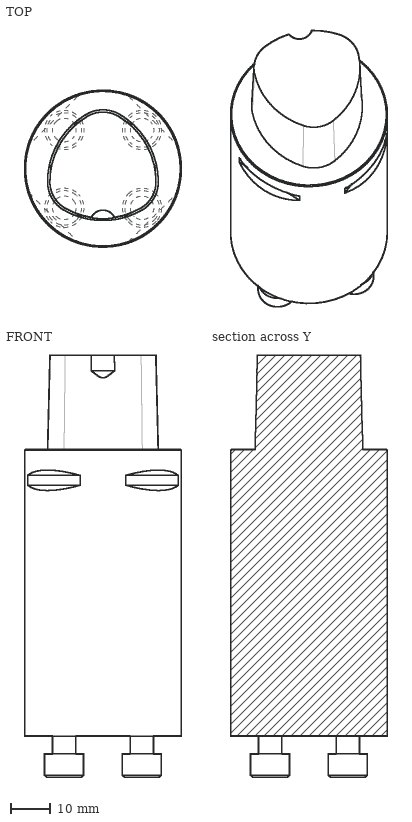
import cadquery as cq
import math

total_height = 107.53
shank_length = 24.0
body_length = 73.0
screw_head_height = 6.0
screw_neck_length = total_height - shank_length - body_length - screw_head_height

body_diameter = 40.0
body_edge_chamfer = 0.3

shank_width = 28.22
lobe_height = 0.9
shank_taper = 1 / 20
lobe_angles = (90, 210, 330)

notch_diameter = 6.5
notch_depth = 4.0
notch_tip_angle = 100.0
notch_axis_y = -13.8

groove_floor_radius = 17.65
groove_floor_height = 2.5
groove_center_z = -7.9
groove_flank_angle = 30.0

diagonal_angles = (45, 135, 225, 315)
screw_circle_radius = 14.0
screw_neck_diameter = 6.0
screw_head_diameter = 10.0
screw_head_chamfer = 0.6


def polar(radius, angle):
    """Point at a radius and an angle in degrees."""
    return cq.Vector(radius * math.cos(math.radians(angle)), radius * math.sin(math.radians(angle)))


def lobed_outline(z, inset):
    """Six tangent arcs: small ones round the lobes, wide ones span the flanks between them.

    The wide arc opposite a lobe shares that lobe's centre, which keeps the width constant.
    """
    lobe_center_radius = 2 * lobe_height / (2 - math.sqrt(3))
    lobe_radius = shank_width / 2 + lobe_height - lobe_center_radius
    small_radius = lobe_radius - inset
    wide_radius = shank_width - lobe_radius - inset
    half_span = 180 / len(lobe_angles) / 2
    edges = []
    for lobe_angle in lobe_angles:
        flank_angle = lobe_angle + 2 * half_span
        arcs = (
            (small_radius, lobe_angle, lobe_angle),
            (wide_radius, flank_angle, flank_angle + 180),
        )
        for radius, middle, center_angle in arcs:
            center = polar(lobe_center_radius, center_angle) + cq.Vector(0, 0, z)
            points = [center + polar(radius, middle + turn) for turn in (-half_span, 0, half_span)]
            edges.append(cq.Edge.makeThreePointArc(*points))
    return cq.Wire.assembleEdges(edges)


def make_body():
    body = cq.Workplane("XY").circle(body_diameter / 2).extrude(-body_length)
    return body.faces(">Z").edges().chamfer(body_edge_chamfer)


def make_shank():
    end_inset = shank_length * shank_taper / 2
    base_outline = lobed_outline(0, 0)
    end_outline = lobed_outline(shank_length, end_inset)
    return cq.Workplane(cq.Solid.makeLoft([base_outline, end_outline], True))


def make_notch():
    """Drill shape with a conical tip, on a vertical axis just outside the shank."""
    radius = notch_diameter / 2
    tip_length = radius / math.tan(math.radians(notch_tip_angle / 2))
    cone_start_z = shank_length - notch_depth
    profile = (
        cq.Workplane("XZ")
        .moveTo(0, shank_length)
        .lineTo(radius, shank_length)
        .lineTo(radius, cone_start_z)
        .lineTo(0, cone_start_z - tip_length)
        .close()
    )
    return profile.revolve(360, (0, 0, 0), (0, 1, 0)).translate((0, notch_axis_y, 0))


def make_groove(angle):
    """Flat-bottomed groove whose flanks open outwards."""
    half_floor = groove_floor_height / 2
    outer_radius = body_diameter / 2
    flank_rise = (outer_radius - groove_floor_radius) * math.tan(math.radians(groove_flank_angle))
    half_mouth = half_floor + flank_rise
    profile = cq.Workplane("XZ").polyline(
        [
            (groove_floor_radius, groove_center_z - half_floor),
            (outer_radius, groove_center_z - half_mouth),
            (outer_radius, groove_center_z + half_mouth),
            (groove_floor_radius, groove_center_z + half_floor),
        ]
    ).close()
    return profile.extrude(outer_radius, both=True).rotate((0, 0, 0), (0, 0, 1), angle)


def make_screw(angle):
    """Neck and head of a cap screw that stands out of the lower face of the body."""
    head_top_z = -body_length - screw_neck_length
    center = polar(screw_circle_radius, angle)
    neck = (
        cq.Workplane("XY", origin=(center.x, center.y, -body_length))
        .circle(screw_neck_diameter / 2)
        .extrude(-screw_neck_length)
    )
    head = (
        cq.Workplane("XY", origin=(center.x, center.y, head_top_z))
        .circle(screw_head_diameter / 2)
        .extrude(-screw_head_height)
        .faces("<Z")
        .edges()
        .chamfer(screw_head_chamfer)
    )
    return neck.union(head)


result = make_body().union(make_shank().cut(make_notch()))
for diagonal in diagonal_angles:
    result = result.cut(make_groove(diagonal)).union(make_screw(diagonal))